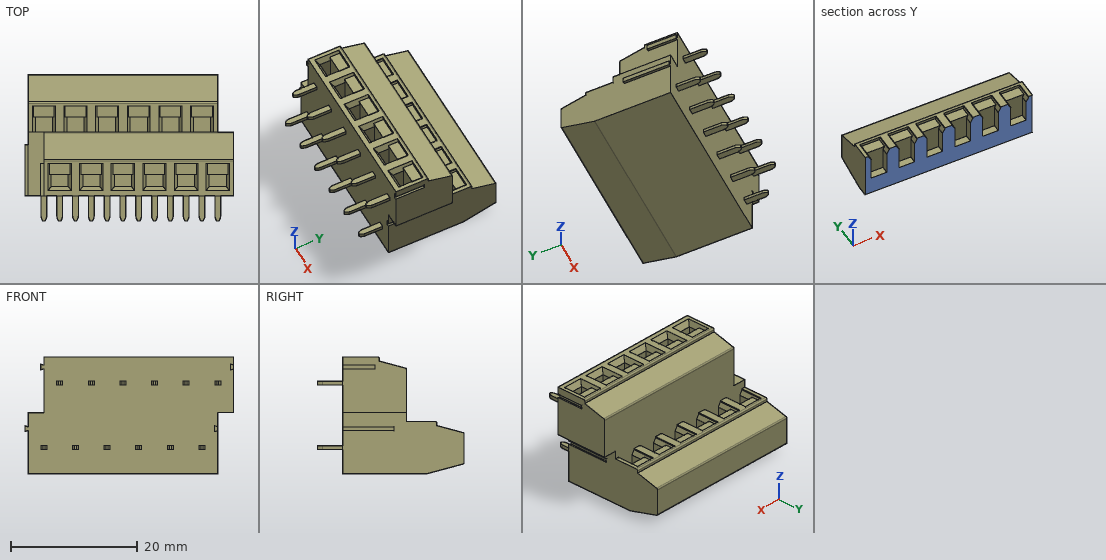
import cadquery as cq
import math


POLES = 6
PITCH = 5.0
ROW_LENGTH = POLES * PITCH
ROW_OFFSET = PITCH / 2
TOTAL_HEIGHT = 18.5
TIER_STEP_Y = 9.1
TIER_STEP_Z = 10.2

UPPER_DEPTH = 10.1
LOWER_DEPTH = UPPER_DEPTH + TIER_STEP_Y
LOWER_TOP = TOTAL_HEIGHT - TIER_STEP_Z
PARTING_HEIGHT = 9.7
RIDGE_DEPTH = 5.8
RIDGE_DROP = 0.65
SLOPE_ANGLE = 15.0
UNDERCUT_LENGTH = 5.9
EDGE_RADIUS = 0.25

UPPER_POCKET_WIDTH = 3.7
LOWER_POCKET_WIDTH = 3.62
THROAT_WIDTH = 2.7
POCKET_BACK = 5.15
UPPER_POCKET_FRONT = 0.85
LOWER_POCKET_FRONT = UPPER_DEPTH - TIER_STEP_Y
FUNNEL_BOTTOM = 1.0
LOWER_RIM_DEPTH = 0.2
FUNNEL_FRONT_INSET = 0.65
POCKET_DEPTH = 5.0
CLAMP_FRONT = 3.4
CLAMP_DROP = 0.5

DOVETAIL_HEIGHT = 0.5
DOVETAIL_WIDE = 0.95
DOVETAIL_NECK = 0.6
UPPER_DOVETAIL_Z = 16.9
LOWER_DOVETAIL_Z = 7.15
UPPER_DOVETAIL_LENGTH = 5.1
LOWER_DOVETAIL_LENGTH = 8.1

PIN_WIDTH = 0.95
PIN_THICKNESS = 0.65
PIN_LENGTH = 4.0
PIN_TIP_LENGTH = 0.8
PIN_TIP_WIDTH = 0.3
PIN_TIP_BULGE = 0.06
LOWER_PIN_Z = 4.15
UPPER_PIN_Z = LOWER_PIN_Z + TIER_STEP_Z

SLOPE = math.tan(math.radians(SLOPE_ANGLE))
SLOPE_DROP = (UPPER_DEPTH - RIDGE_DEPTH) * SLOPE


def extrude_profile(points, start_x, length):
    """Extrude a (Y, Z) outline along X."""
    return cq.Workplane("YZ", origin=(start_x, 0, 0)).polyline(points).close().extrude(length)


def round_edges(body, points):
    """Round the X-parallel edges that pass through the given (Y, Z) corners."""
    for y, z in points:
        middle_x = body.val().BoundingBox().center.x
        corner = cq.selectors.NearestToPointSelector((middle_x, y, z))
        body = body.edges(corner).fillet(EDGE_RADIUS)
    return body


def make_upper_housing():
    ridge = (RIDGE_DEPTH, TOTAL_HEIGHT)
    slope_end = (UPPER_DEPTH, TOTAL_HEIGHT - RIDGE_DROP - SLOPE_DROP)
    outline = [
        (0, PARTING_HEIGHT),
        (UPPER_DEPTH, PARTING_HEIGHT),
        slope_end,
        (RIDGE_DEPTH, TOTAL_HEIGHT - RIDGE_DROP),
        ridge,
        (0, TOTAL_HEIGHT),
    ]
    return round_edges(extrude_profile(outline, ROW_OFFSET, ROW_LENGTH), [ridge, slope_end])


def make_lower_housing():
    ridge = (RIDGE_DEPTH + TIER_STEP_Y, LOWER_TOP)
    slope_end = (LOWER_DEPTH, LOWER_TOP - RIDGE_DROP - SLOPE_DROP)
    undercut_end = (LOWER_DEPTH, UNDERCUT_LENGTH * SLOPE)
    outline = [
        (0, 0),
        (LOWER_DEPTH - UNDERCUT_LENGTH, 0),
        undercut_end,
        slope_end,
        (RIDGE_DEPTH + TIER_STEP_Y, LOWER_TOP - RIDGE_DROP),
        ridge,
        (UPPER_DEPTH, LOWER_TOP),
        (UPPER_DEPTH, PARTING_HEIGHT),
        (0, PARTING_HEIGHT),
    ]
    body = extrude_profile(outline, 0, ROW_LENGTH)
    return round_edges(body, [ridge, slope_end, undercut_end])


def make_pocket(mouth_width, mouth_front, front_inset, rim_depth):
    """Cavity below Z = 0 with a funnel mouth and a clamp left standing at its back."""
    throat_front = mouth_front + front_inset
    mouth_length = POCKET_BACK - mouth_front
    throat_length = POCKET_BACK - throat_front
    mouth_center = (POCKET_BACK + mouth_front) / 2
    throat_center = (POCKET_BACK + throat_front) / 2

    funnel = (
        cq.Workplane("XY", origin=(0, mouth_center, -rim_depth))
        .rect(mouth_width, mouth_length)
        .workplane(offset=rim_depth - FUNNEL_BOTTOM)
        .center(0, throat_center - mouth_center)
        .rect(THROAT_WIDTH, throat_length)
        .loft(ruled=True)
    )
    throat = (
        cq.Workplane("XY", origin=(0, throat_center, -FUNNEL_BOTTOM))
        .rect(THROAT_WIDTH, throat_length)
        .extrude(FUNNEL_BOTTOM - POCKET_DEPTH)
    )
    clamp = cq.Workplane("XY", origin=(0, CLAMP_FRONT, -POCKET_DEPTH)).box(
        mouth_width,
        POCKET_BACK - CLAMP_FRONT,
        POCKET_DEPTH - CLAMP_DROP,
        centered=(True, False, False),
    )
    pocket = funnel.union(throat)
    if rim_depth > 0:
        rim = cq.Workplane("XY", origin=(0, mouth_center, 0)).rect(mouth_width, mouth_length)
        pocket = pocket.union(rim.extrude(-rim_depth))
    return pocket.cut(clamp)


def make_dovetail(start_x, center_z, length):
    """Dovetail bar that widens toward -X, starting at the solder-side face."""
    outline = [
        (start_x, center_z - DOVETAIL_NECK / 2),
        (start_x, center_z + DOVETAIL_NECK / 2),
        (start_x - DOVETAIL_HEIGHT, center_z + DOVETAIL_WIDE / 2),
        (start_x - DOVETAIL_HEIGHT, center_z - DOVETAIL_WIDE / 2),
    ]
    return cq.Workplane("XZ").polyline(outline).close().extrude(-length)


def make_pin(center_x, center_z):
    """Flat solder pin with a tapered tip, pointing toward -Y."""
    shoulder = PIN_TIP_LENGTH - PIN_LENGTH
    half_width = PIN_WIDTH / 2
    half_tip = PIN_TIP_WIDTH / 2
    flank_x = (half_width + half_tip) / 2 + PIN_TIP_BULGE
    flank_y = (shoulder - PIN_LENGTH) / 2
    pin = (
        cq.Workplane("XY")
        .moveTo(-half_width, 0)
        .lineTo(-half_width, shoulder)
        .threePointArc((-flank_x, flank_y), (-half_tip, -PIN_LENGTH))
        .lineTo(half_tip, -PIN_LENGTH)
        .threePointArc((flank_x, flank_y), (half_width, shoulder))
        .lineTo(half_width, 0)
        .close()
        .extrude(PIN_THICKNESS / 2, both=True)
    )
    return pin.translate((center_x, 0, center_z))


def finish_tier(body, pocket, start_x, front_offset, top_z, pin_z, dovetail_z, dovetail_length):
    """Add the pockets, pins, rib and groove of one row to its housing."""
    for pole in range(POLES):
        center_x = start_x + PITCH * (pole + 0.5)
        body = body.cut(pocket.translate((center_x, front_offset, top_z)))
        body = body.union(make_pin(center_x, pin_z))
    rib = make_dovetail(start_x, dovetail_z, dovetail_length)
    groove = make_dovetail(start_x + ROW_LENGTH, dovetail_z, dovetail_length)
    return body.union(rib).cut(groove)


lower_tier = finish_tier(
    body=make_lower_housing(),
    pocket=make_pocket(LOWER_POCKET_WIDTH, LOWER_POCKET_FRONT, 0, LOWER_RIM_DEPTH),
    start_x=0,
    front_offset=TIER_STEP_Y,
    top_z=LOWER_TOP,
    pin_z=LOWER_PIN_Z,
    dovetail_z=LOWER_DOVETAIL_Z,
    dovetail_length=LOWER_DOVETAIL_LENGTH,
)
upper_tier = finish_tier(
    body=make_upper_housing(),
    pocket=make_pocket(UPPER_POCKET_WIDTH, UPPER_POCKET_FRONT, FUNNEL_FRONT_INSET, 0),
    start_x=ROW_OFFSET,
    front_offset=0,
    top_z=TOTAL_HEIGHT,
    pin_z=UPPER_PIN_Z,
    dovetail_z=UPPER_DOVETAIL_Z,
    dovetail_length=UPPER_DOVETAIL_LENGTH,
)
result = lower_tier.union(upper_tier)